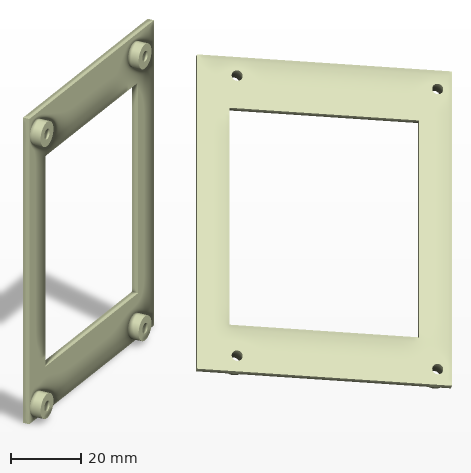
import cadquery as cq

plate_thickness = 2.0
plate_width = 73.6
plate_height = 96.3

window_width = 54.7
window_height = 66.4
window_side_margin = 9.5
window_bottom_margin = 14.2

total_depth = 5.5
standoff_diameter = 7.6
hole_diameter = 3.2
standoff_spacing_y = 57.9
standoff_spacing_z = 85.8
standoff_side_margin = 4.1
standoff_bottom_margin = 4.8

standoff_centers = [
    (y, z)
    for y in (standoff_side_margin, standoff_side_margin + standoff_spacing_y)
    for z in (standoff_bottom_margin, standoff_bottom_margin + standoff_spacing_z)
]


def make_plate():
    """Flat plate with its -Y, -Z corner at the origin."""
    return cq.Workplane("XY").box(plate_thickness, plate_width, plate_height, centered=False)


def make_window():
    """Block that cuts the window through the plate."""
    return (
        cq.Workplane("XY")
        .box(plate_thickness, window_width, window_height, centered=False)
        .translate((0, window_side_margin, window_bottom_margin))
    )


def make_cylinders(diameter):
    """Cylinders at the standoff centers, spanning the whole depth."""
    return cq.Workplane("YZ").pushPoints(standoff_centers).circle(diameter / 2).extrude(total_depth)


result = (
    make_plate()
    .cut(make_window())
    .union(make_cylinders(standoff_diameter))
    .cut(make_cylinders(hole_diameter))
)